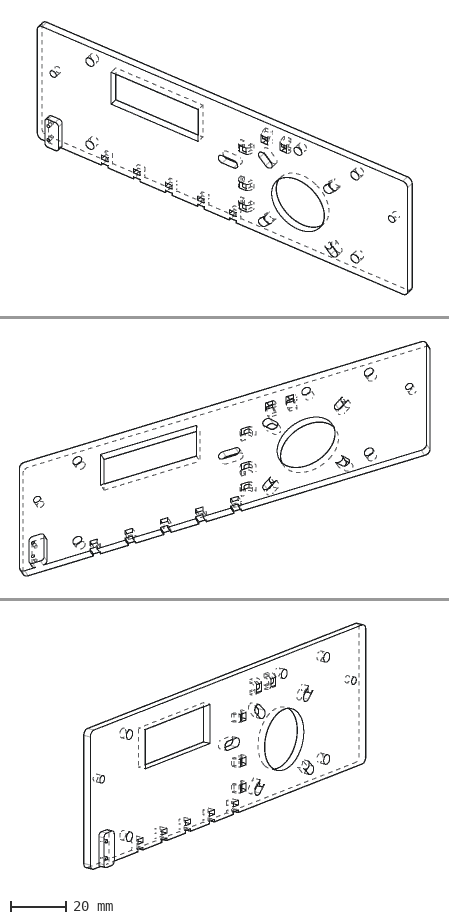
import cadquery as cq
import math

plate_length = 162.0
plate_height = 53.0
plate_thickness = 3.0
plate_corner_radius = 2.1

pad_width = 6.0
pad_height = 13.1
pad_thickness = 2.5
pad_corner_radius = 1.5
pad_x = -73.0
pilot_diameter = 1.2
pilot_x = -74.5
pilot_spacing = 6.5
pilot_z = -19.8

mount_diameter = 3.5
mount_x = 58.0
mount_z = 19.5
side_hole_diameter = 2.8
side_hole_x = 74.0
side_hole_z = 6.5

motor_x = 33.0
motor_z = -5.5
motor_diameter = 23.0
slot_width = 3.4
slot_inner_offset = 13.0
slot_outer_offset = 15.5

level_slot_length = 8.5
level_slot_x = 2.5
level_slot_z = 0.5

window_width = 38.0
window_height = 14.9
window_x = -29.6
window_z = 11.5

tie_count = 5
tie_span = 56.0
tie_last_x = 4.5
tie_width = 2.9
tie_hole_height = 1.8
tie_notch_depth = 1.0
tie_bridge = 2.0

channel_width = 2.9
channel_bar_radius = 1.5
channel_outer_radius = 2.9
upright_channel_x = 8.9
upright_channel_heights = (9.0, -8.0, -17.8)
level_channel_places = (18.3, 26.5)
level_channel_z = 18.0

plate_bottom = -plate_height / 2


def front_block(width, height, x, z, y_front, y_back):
    """Box given by its centre in X and Z and its extent in Y."""
    depth = y_back - y_front
    return cq.Workplane("XY").box(width, depth, height).translate((x, (y_front + y_back) / 2, z))


def through_hole(diameter, x, z):
    return cq.Workplane("XZ").center(x, z).circle(diameter / 2).extrude(-plate_thickness)


def diagonal_slot(angle, inner_round, outer_round):
    """Slot on a ray from the motor axis; an end that is not round curves into the slot."""
    radius = slot_width / 2
    inner = slot_inner_offset * math.sqrt(2)
    outer = slot_outer_offset * math.sqrt(2)
    inner_tip = inner - radius if inner_round else inner + radius
    outer_tip = outer + radius if outer_round else outer - radius
    slot = (
        cq.Workplane("XZ")
        .moveTo(inner, radius)
        .lineTo(outer, radius)
        .threePointArc((outer_tip, 0), (outer, -radius))
        .lineTo(inner, -radius)
        .threePointArc((inner_tip, 0), (inner, radius))
        .close()
        .extrude(-plate_thickness)
    )
    return slot.rotate((0, 0, 0), (0, 1, 0), -angle).translate((motor_x, 0, motor_z))


def tie_channel():
    """Ring about the Z axis, as deep as makes its front opening as wide as the bar inside it."""
    centre_depth = math.sqrt(channel_outer_radius**2 - channel_bar_radius**2)
    return (
        cq.Workplane("XY")
        .center(0, centre_depth)
        .circle(channel_outer_radius)
        .circle(channel_bar_radius)
        .extrude(channel_width / 2, both=True)
    )


plate = front_block(plate_length, plate_height, 0, 0, 0, plate_thickness)
plate = plate.edges("|Y").fillet(plate_corner_radius)

pad_z = plate_bottom + pad_height / 2
pad = front_block(pad_width, pad_height, pad_x, pad_z, -pad_thickness, 0)
pad = pad.edges("|Y").fillet(pad_corner_radius)
result = plate.union(pad)

for z in (pilot_z - pilot_spacing / 2, pilot_z + pilot_spacing / 2):
    pilot = cq.Workplane("XZ").center(pilot_x, z).circle(pilot_diameter / 2).extrude(pad_thickness)
    result = result.cut(pilot)

for side in (-1, 1):
    result = result.cut(through_hole(side_hole_diameter, side * side_hole_x, side_hole_z))
    for z in (-mount_z, mount_z):
        result = result.cut(through_hole(mount_diameter, side * mount_x, z))

result = result.cut(through_hole(motor_diameter, motor_x, motor_z))
result = result.cut(through_hole(slot_width, motor_x, mount_z))
for angle, inner_round, outer_round in (
    (45, True, False),
    (135, True, True),
    (225, False, True),
    (315, False, True),
):
    result = result.cut(diagonal_slot(angle, inner_round, outer_round))

level_slot = (
    cq.Workplane("XZ")
    .center(level_slot_x, level_slot_z)
    .slot2D(level_slot_length, slot_width)
    .extrude(-plate_thickness)
)
result = result.cut(level_slot)
result = result.cut(front_block(window_width, window_height, window_x, window_z, 0, plate_thickness))

notch_z = plate_bottom + tie_notch_depth / 2
tie_hole_z = plate_bottom + tie_notch_depth + tie_bridge + tie_hole_height / 2
for i in range(tie_count):
    x = tie_last_x - i * tie_span / (tie_count - 1)
    result = result.cut(front_block(tie_width, tie_notch_depth, x, notch_z, 0, plate_thickness))
    result = result.cut(front_block(tie_width, tie_hole_height, x, tie_hole_z, 0, plate_thickness))

upright_channel = tie_channel()
for z in upright_channel_heights:
    result = result.cut(upright_channel.translate((upright_channel_x, 0, z)))
level_channel = upright_channel.rotate((0, 0, 0), (0, 1, 0), 90)
for x in level_channel_places:
    result = result.cut(level_channel.translate((x, 0, level_channel_z)))